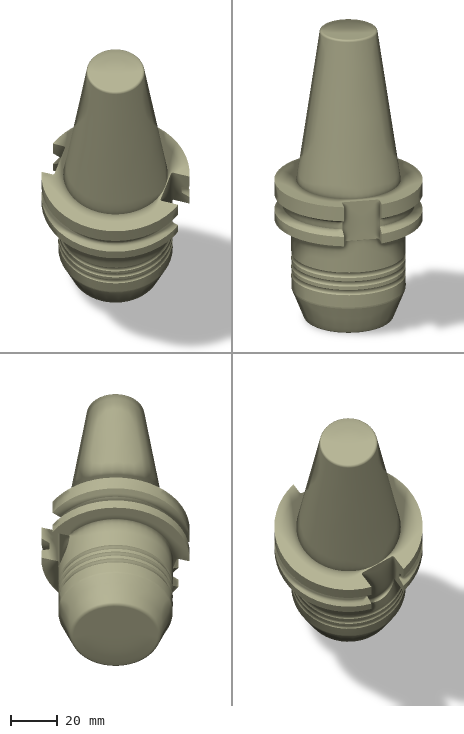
import cadquery as cq


gauge_diameter = 44.45
taper_length = 68.25
taper_rate = 7 / 24
taper_end_fillet = 1.0

flange_diameter = 63.5
flange_top_z = -1.0
flange_bottom_z = -19.05
groove_center_z = -11.1
groove_mouth_width = 7.2
groove_floor_width = 3.6
groove_floor_diameter = 56.36
groove_floor_fillet = 0.4

slot_width = 16.38
slot_round_center_z = -19.4
slot_floor_left = 25.0
slot_floor_right = 22.6
slot_floor_fillet = 0.8

body_diameter = 49.0
body_root_fillet = 0.4
nose_z = -64.5
nose_cone_top_z = -50.6
nose_end_diameter = 38.0
nose_shoulder_fillet = 2.0
nose_end_fillet = 1.5
ring_groove_depth = 0.8
ring_groove_width = 2.4
ring_groove_pitch = 4.0
ring_groove_count = 3
first_ring_groove_z = -35.4

flange_radius = flange_diameter / 2
body_radius = body_diameter / 2


def taper_radius(z):
    """Radius of the taper at the given height above the gauge plane."""
    return (gauge_diameter - z * taper_rate) / 2


def revolve_about_z(outline):
    """Close an outline in the XZ plane and turn it about the Z axis."""
    return outline.close().revolve(360, (0, 0), (0, 1))


def make_shank():
    """Taper shank, carried past the gauge plane down to the flange."""
    outline = (
        cq.Workplane("XZ")
        .moveTo(0, flange_top_z)
        .lineTo(taper_radius(flange_top_z), flange_top_z)
        .lineTo(taper_radius(taper_length), taper_length)
        .lineTo(0, taper_length)
    )
    return revolve_about_z(outline).faces(">Z").edges().fillet(taper_end_fillet)


def fillet_circle(solid, radius, z, fillet_radius):
    """Round the circular edge of a revolved solid that has the given radius and height."""
    tolerance = 0.01

    def is_wanted(edge):
        if edge.geomType() != "CIRCLE":
            return False
        return abs(edge.radius() - radius) < tolerance and abs(edge.arcCenter().z - z) < tolerance

    wanted_edges = [edge for edge in solid.edges().vals() if is_wanted(edge)]
    return solid.newObject(wanted_edges).fillet(fillet_radius)


def make_body_of_revolution():
    """Flange, clamping body and nose as one revolved solid with its fillets."""
    floor_radius = groove_floor_diameter / 2
    mouth_half = groove_mouth_width / 2
    floor_half = groove_floor_width / 2
    groove_floor_top_z = groove_center_z + floor_half
    groove_floor_bottom_z = groove_center_z - floor_half
    outline = (
        cq.Workplane("XZ")
        .moveTo(0, flange_top_z)
        .lineTo(flange_radius, flange_top_z)
        .lineTo(flange_radius, groove_center_z + mouth_half)
        .lineTo(floor_radius, groove_floor_top_z)
        .lineTo(floor_radius, groove_floor_bottom_z)
        .lineTo(flange_radius, groove_center_z - mouth_half)
        .lineTo(flange_radius, flange_bottom_z)
        .lineTo(body_radius, flange_bottom_z)
        .lineTo(body_radius, nose_cone_top_z)
        .lineTo(nose_end_diameter / 2, nose_z)
        .lineTo(0, nose_z)
    )
    solid = revolve_about_z(outline)
    fillets = [
        (floor_radius, groove_floor_top_z, groove_floor_fillet),
        (floor_radius, groove_floor_bottom_z, groove_floor_fillet),
        (body_radius, flange_bottom_z, body_root_fillet),
        (body_radius, nose_cone_top_z, nose_shoulder_fillet),
        (nose_end_diameter / 2, nose_z, nose_end_fillet),
    ]
    for radius, z, fillet_radius in fillets:
        solid = fillet_circle(solid, radius, z, fillet_radius)
    return solid


def make_ring_groove(center_z):
    """Ring of round section that cuts a shallow groove around the body."""
    half_width = ring_groove_width / 2
    outline = (
        cq.Workplane("XZ")
        .moveTo(body_radius, center_z + half_width)
        .threePointArc((body_radius - ring_groove_depth, center_z), (body_radius, center_z - half_width))
    )
    return revolve_about_z(outline)


def make_key_slot(floor_x):
    """Radial slot on the +X side: open at the flange top, with a round lower end."""
    half_width = slot_width / 2
    return (
        cq.Workplane("YZ")
        .workplane(offset=floor_x)
        .moveTo(-half_width, flange_top_z)
        .lineTo(-half_width, slot_round_center_z)
        .threePointArc((0, slot_round_center_z - half_width), (half_width, slot_round_center_z))
        .lineTo(half_width, flange_top_z)
        .close()
        .extrude(flange_radius)
        .faces("<X")
        .edges("not(>Z)")
        .fillet(slot_floor_fillet)
    )


right_slot = make_key_slot(slot_floor_right)
left_slot = make_key_slot(slot_floor_left).rotate((0, 0, 0), (0, 0, 1), 180)

result = make_body_of_revolution().cut(right_slot).cut(left_slot)
for index in range(ring_groove_count):
    result = result.cut(make_ring_groove(first_ring_groove_z - index * ring_groove_pitch))
result = result.union(make_shank())